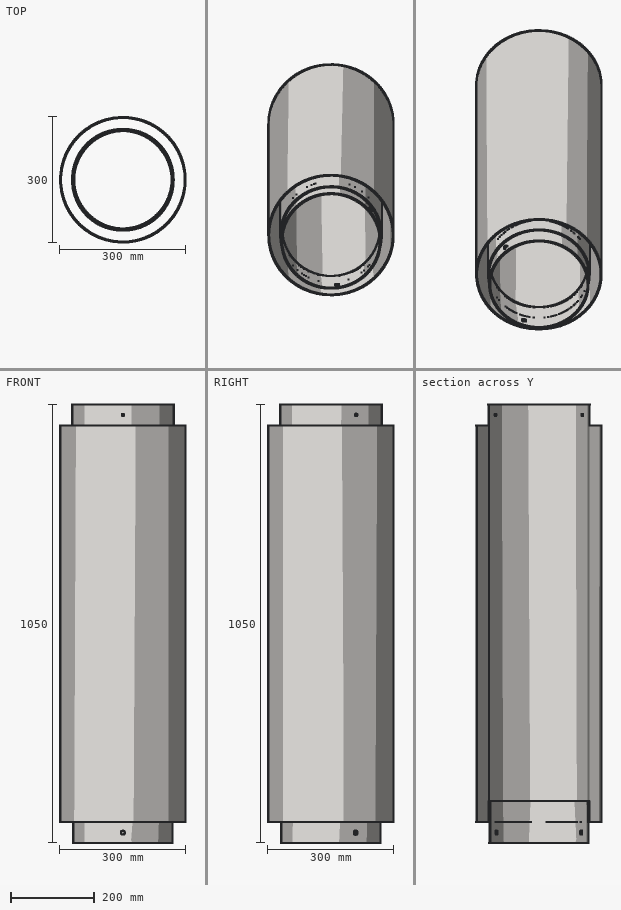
import cadquery as cq

TOTAL_LENGTH = 1050.0
JACKET_DIAMETER = 300.0
JACKET_WALL = 2.0
SPIGOT_OUTER_DIAMETER = 238.0
SPIGOT_INNER_DIAMETER = 233.0
SPIGOT_WALL = (SPIGOT_OUTER_DIAMETER - SPIGOT_INNER_DIAMETER) / 2

END_LENGTH = 50.0
JACKET_LENGTH = TOTAL_LENGTH - 2 * END_LENGTH

LINER_INNER_DIAMETER = SPIGOT_OUTER_DIAMETER
LINER_OUTER_DIAMETER = LINER_INNER_DIAMETER + 2 * SPIGOT_WALL
LINER_LENGTH = TOTAL_LENGTH - END_LENGTH
SPIGOT_LENGTH = 2 * END_LENGTH

HOLE_COUNT = 3
FIRST_HOLE_ANGLE = -90.0
TOP_HOLE_DIAMETER = 5.0
BOTTOM_HOLE_DIAMETER = 9.2
TOP_HOLE_HEIGHT = TOTAL_LENGTH - END_LENGTH / 2
BOTTOM_HOLE_HEIGHT = END_LENGTH / 2


def tube(outer_diameter, inner_diameter, bottom, length):
    """Round tube along Z, starting at the given height."""
    return (
        cq.Workplane("XY", origin=(0, 0, bottom))
        .circle(outer_diameter / 2)
        .circle(inner_diameter / 2)
        .extrude(length)
    )


def drill_radial_holes(body, diameter, height):
    """Cut evenly spaced holes outward from the axis, through one wall each."""
    drill = (
        cq.Workplane("YZ", origin=(0, 0, height))
        .circle(diameter / 2)
        .extrude(JACKET_DIAMETER / 2)
    )
    for index in range(HOLE_COUNT):
        angle = FIRST_HOLE_ANGLE + index * 360.0 / HOLE_COUNT
        body = body.cut(drill.rotate((0, 0, 0), (0, 0, 1), angle))
    return body


def make_jacket():
    inner_diameter = JACKET_DIAMETER - 2 * JACKET_WALL
    return tube(JACKET_DIAMETER, inner_diameter, END_LENGTH, JACKET_LENGTH)


def make_liner():
    liner = tube(LINER_OUTER_DIAMETER, LINER_INNER_DIAMETER, END_LENGTH, LINER_LENGTH)
    return drill_radial_holes(liner, TOP_HOLE_DIAMETER, TOP_HOLE_HEIGHT)


def make_spigot():
    spigot = tube(SPIGOT_OUTER_DIAMETER, SPIGOT_INNER_DIAMETER, 0, SPIGOT_LENGTH)
    return drill_radial_holes(spigot, BOTTOM_HOLE_DIAMETER, BOTTOM_HOLE_HEIGHT)


jacket = make_jacket()
liner = make_liner()
spigot = make_spigot()

result = cq.Compound.makeCompound([jacket.val(), liner.val(), spigot.val()])